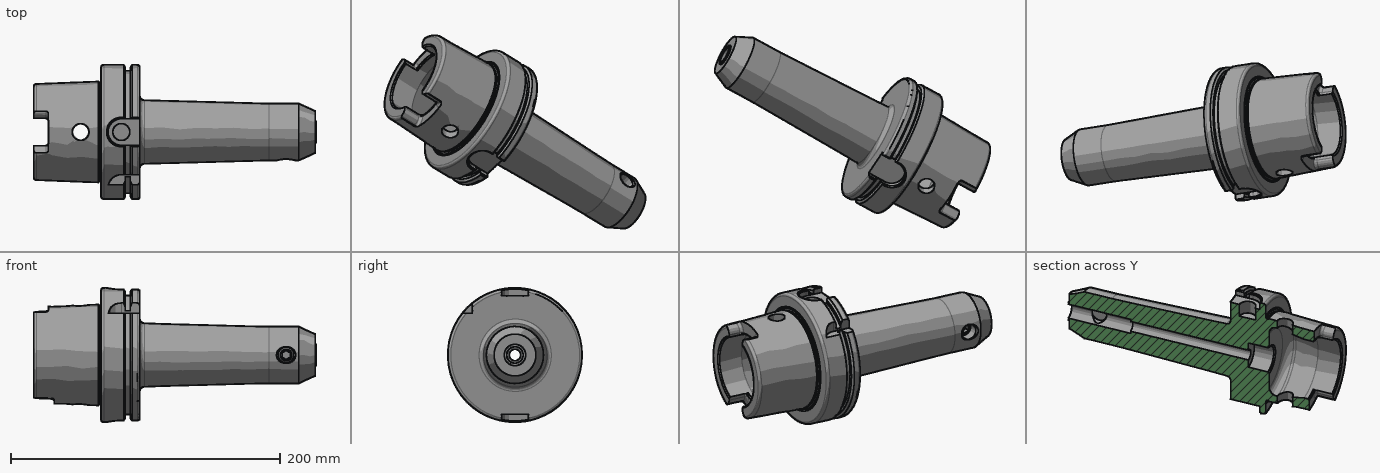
import cadquery as cq

length = 210.0
flange_radius = 50.0

taper_rear_radius = 35.7
taper_front_radius = 37.5
taper_end = 47.9
rear_rounding = 2.0

neck_radius = 37.0
neck_start = 48.3
neck_end = 49.5
step_radius = 37.5
step_start = 49.8
recess_outer_radius = 39.7
recess_inner_radius = 38.5
recess_depth = 0.2

flange_start = 50.0
flange_end = 79.0
flange_rounding = 2.0
groove_radius = 45.5
groove_lip_radius = 47.9
groove_center = 70.0
groove_mouth_width = 6.3
groove_floor_width = 3.8

root_fillet = 3.2
shank_root_radius = 23.7
nose_radius = 21.2
nose_start = 174.7
nose_cone_start = 197.0
nose_tip_radius = 15.5
collar_radius = 8.0
collar_height = 0.6

cavity_mouth_radius = 26.2
cavity_mouth_chamfer = 1.0
cavity_mouth_depth = 19.5
cavity_radius = 30.7
cavity_flare_end = 39.0
cavity_floor_fillet = 6.3
cavity_depth = 47.5

tube_seat_radius = 10.7
tube_seat_chamfer = 1.0
tube_seat_depth = 16.8
coolant_radius = 4.2
tool_bore_radius = 6.0
tool_bore_depth = 50.5

notch_half_width = 10.0
notch_lip_radius = 5.5
notch_lip_top = 32.0
notch_corner_radius = 2.0
top_notch_depth = 11.0
bottom_notch_depth = 15.1

cross_hole_radius = 6.0
cross_hole_x = 34.9

keyway_half_width = 9.9
keyway_floor = 43.9
keyway_lip_chamfer = 1.0
keyway_center_x = 65.0
keyway_hole_radius = 6.3
keyway_hole_depth = 10.5

corner_wall_y = -31.7
corner_floor_z = 31.0
corner_end_radius = 9.9
corner_end_x = 65.0

screw_x = 187.5
screw_radius = 5.9
screw_countersink_radius = 7.1
screw_top = 13.6
screw_top_chamfer = 1.7
socket_width = 5.9
socket_depth = 4.0


def revolved(half_profile):
    """Turn a closed outline drawn in X and radius about the X axis."""
    return half_profile.close().revolve(360, (0, 0, 0), (1, 0, 0))


def turned_pin(start_x, end_x, radius):
    """Solid cylinder along the X axis."""
    return cq.Workplane("YZ", origin=(start_x, 0, 0)).circle(radius).extrude(end_x - start_x)


def make_taper():
    body = revolved(
        cq.Workplane("XY")
        .moveTo(0, 0)
        .lineTo(0, taper_rear_radius)
        .lineTo(taper_end, taper_front_radius)
        .lineTo(neck_start, neck_radius)
        .lineTo(neck_end, neck_radius)
        .lineTo(step_start, step_radius)
        .lineTo(flange_start + recess_depth, recess_inner_radius)
        .lineTo(flange_start + recess_depth, 0)
    )
    return body.faces("<X").edges().fillet(rear_rounding)


def flange_envelope():
    """Turned shape of the flange: rounded rims, gripper groove and face recess."""
    half_mouth = groove_mouth_width / 2
    half_floor = groove_floor_width / 2
    body = revolved(
        cq.Workplane("XY")
        .moveTo(flange_start + recess_depth, 0)
        .lineTo(flange_start + recess_depth, recess_outer_radius)
        .lineTo(flange_start, recess_outer_radius)
        .lineTo(flange_start, flange_radius)
        .lineTo(groove_center - half_mouth, flange_radius)
        .lineTo(groove_center - half_floor, groove_lip_radius)
        .lineTo(groove_center - half_floor, groove_radius)
        .lineTo(groove_center + half_floor, groove_radius)
        .lineTo(groove_center + half_floor, groove_lip_radius)
        .lineTo(groove_center + half_mouth, flange_radius)
        .lineTo(flange_end, flange_radius)
        .lineTo(flange_end, 0)
    )
    outer_rim = cq.selectors.RadiusNthSelector(-1)
    body = body.faces(">X").edges(outer_rim).fillet(flange_rounding)
    return body.faces("<X").edges(outer_rim).fillet(flange_rounding)


def keyway_cutter(side):
    """Round-ended slot, open at the flange front; side is +1 for the top and -1 for the bottom."""
    slot_length = 2 * (flange_end - keyway_center_x + keyway_half_width)
    return (
        cq.Workplane("XY", origin=(flange_end, 0, side * keyway_floor))
        .slot2D(slot_length, 2 * keyway_half_width)
        .extrude(side * flange_radius)
    )


def keyway_lip(side):
    """Selector for the edges where a keyway breaks out of the flange rim."""
    mid_height = (keyway_floor + flange_radius) / 2
    return cq.selectors.BoxSelector(
        (flange_start, -2 * keyway_half_width, side * mid_height),
        (flange_end - keyway_lip_chamfer, 2 * keyway_half_width, side * 2 * flange_radius),
    )


def make_flange():
    disc = turned_pin(flange_start, flange_end, flange_radius)
    for side in (1, -1):
        disc = disc.cut(keyway_cutter(side))
        disc = disc.edges(keyway_lip(side)).chamfer(keyway_lip_chamfer)
    return disc.intersect(flange_envelope())


def make_shank():
    root_end = flange_end + root_fillet
    return revolved(
        cq.Workplane("XY")
        .moveTo(flange_end, 0)
        .lineTo(flange_end, shank_root_radius + root_fillet)
        .radiusArc((root_end, shank_root_radius), -root_fillet)
        .lineTo(nose_start, nose_radius)
        .lineTo(nose_cone_start, nose_radius)
        .lineTo(length - collar_height, nose_tip_radius)
        .lineTo(length - collar_height, collar_radius)
        .lineTo(length, collar_radius)
        .lineTo(length, 0)
    )


def axial_bores():
    """Rear cavity, coolant tube seat, coolant passage and tool bore in one turned cutter."""
    seat_end = cavity_depth + tube_seat_depth
    tool_bore_start = length - tool_bore_depth
    return revolved(
        cq.Workplane("XY")
        .moveTo(0, 0)
        .lineTo(0, cavity_mouth_radius + cavity_mouth_chamfer)
        .lineTo(cavity_mouth_chamfer, cavity_mouth_radius)
        .lineTo(cavity_mouth_depth, cavity_mouth_radius)
        .lineTo(cavity_flare_end, cavity_radius)
        .lineTo(cavity_depth - cavity_floor_fillet, cavity_radius)
        .radiusArc((cavity_depth, cavity_radius - cavity_floor_fillet), cavity_floor_fillet)
        .lineTo(cavity_depth, tube_seat_radius + tube_seat_chamfer)
        .lineTo(cavity_depth + tube_seat_chamfer, tube_seat_radius)
        .lineTo(seat_end, tube_seat_radius)
        .lineTo(seat_end, coolant_radius)
        .lineTo(tool_bore_start, coolant_radius)
        .lineTo(tool_bore_start, tool_bore_radius)
        .lineTo(length, tool_bore_radius)
        .lineTo(length, 0)
    )


def notch_edge_chamfer(depth):
    """Cone that bevels the inner edge of a notch's end wall."""
    cone = revolved(
        cq.Workplane("XY")
        .moveTo(depth, 0)
        .lineTo(depth, cavity_mouth_radius + cavity_mouth_chamfer)
        .lineTo(depth + cavity_mouth_chamfer, cavity_mouth_radius)
        .lineTo(depth + cavity_mouth_chamfer, 0)
    )
    notch_span = cq.Workplane("XY").box(
        length, 2 * notch_half_width, flange_radius, centered=(True, True, False)
    )
    return cone.intersect(notch_span)


def drive_notch_cutter(depth):
    """Notch at the top of the rear end, with rounded outer lips and a filleted end wall."""
    lip_half_width = notch_half_width + notch_lip_radius
    lip_start = notch_lip_top - notch_lip_radius
    slot = (
        cq.Workplane("YZ", origin=(-depth, 0, 0))
        .moveTo(-notch_half_width, 0)
        .lineTo(-notch_half_width, lip_start)
        .radiusArc((-lip_half_width, notch_lip_top), -notch_lip_radius)
        .lineTo(-lip_half_width, flange_radius)
        .lineTo(lip_half_width, flange_radius)
        .lineTo(lip_half_width, notch_lip_top)
        .radiusArc((notch_half_width, lip_start), -notch_lip_radius)
        .lineTo(notch_half_width, 0)
        .close()
        .extrude(2 * depth)
    )
    slot = slot.faces(">X").edges("not(<Z or >Z)").fillet(notch_corner_radius)
    return slot.union(notch_edge_chamfer(depth))


def corner_notch_cutter():
    """Milled corner on the -Y side, with a round end towards the taper."""
    outside_y = -flange_radius
    end_tip_x = corner_end_x - corner_end_radius
    return (
        cq.Workplane("XY", origin=(0, 0, corner_floor_z))
        .moveTo(flange_end, corner_wall_y)
        .lineTo(flange_end, outside_y)
        .lineTo(end_tip_x, outside_y)
        .lineTo(end_tip_x, corner_wall_y - corner_end_radius)
        .radiusArc((corner_end_x, corner_wall_y), corner_end_radius)
        .close()
        .extrude(flange_radius)
    )


def screw_hole_cutter():
    """Countersunk hole from the nose surface on the -Y side into the tool bore."""
    taper_depth = screw_countersink_radius - screw_radius
    return (
        cq.Workplane("XY", origin=(screw_x, 0, 0))
        .lineTo(screw_radius, 0)
        .lineTo(screw_radius, taper_depth - nose_radius)
        .lineTo(screw_countersink_radius, -nose_radius)
        .lineTo(0, -nose_radius)
        .close()
        .revolve(360, (0, 0, 0), (0, 1, 0))
    )


def make_holder():
    holder = make_taper().union(make_flange()).union(make_shank()).cut(axial_bores())
    holder = holder.cut(drive_notch_cutter(top_notch_depth))
    holder = holder.cut(drive_notch_cutter(bottom_notch_depth).rotate((0, 0, 0), (1, 0, 0), 180))
    cross_hole = (
        cq.Workplane("XY", origin=(cross_hole_x, 0, 0))
        .circle(cross_hole_radius)
        .extrude(flange_radius, both=True)
    )
    keyway_hole = (
        cq.Workplane("XY", origin=(keyway_center_x, 0, keyway_floor))
        .circle(keyway_hole_radius)
        .extrude(-keyway_hole_depth)
    )
    return (
        holder.cut(cross_hole)
        .cut(keyway_hole)
        .cut(corner_notch_cutter())
        .cut(screw_hole_cutter())
    )


def make_screw():
    """Sunken clamping screw with a hexagon socket; its flat tip reaches the tool bore."""
    body = (
        cq.Workplane("XZ", origin=(screw_x, -tool_bore_radius, 0))
        .circle(screw_radius)
        .extrude(screw_top - tool_bore_radius)
        .faces("<Y")
        .chamfer(screw_top_chamfer)
    )
    socket = (
        cq.Workplane("XZ", origin=(screw_x, -screw_top, 0))
        .polygon(6, socket_width, circumscribed=True)
        .extrude(-socket_depth)
    )
    return body.cut(socket)


holder = make_holder()
screw = make_screw()
result = cq.Compound.makeCompound([holder.solids().val(), screw.solids().val()])